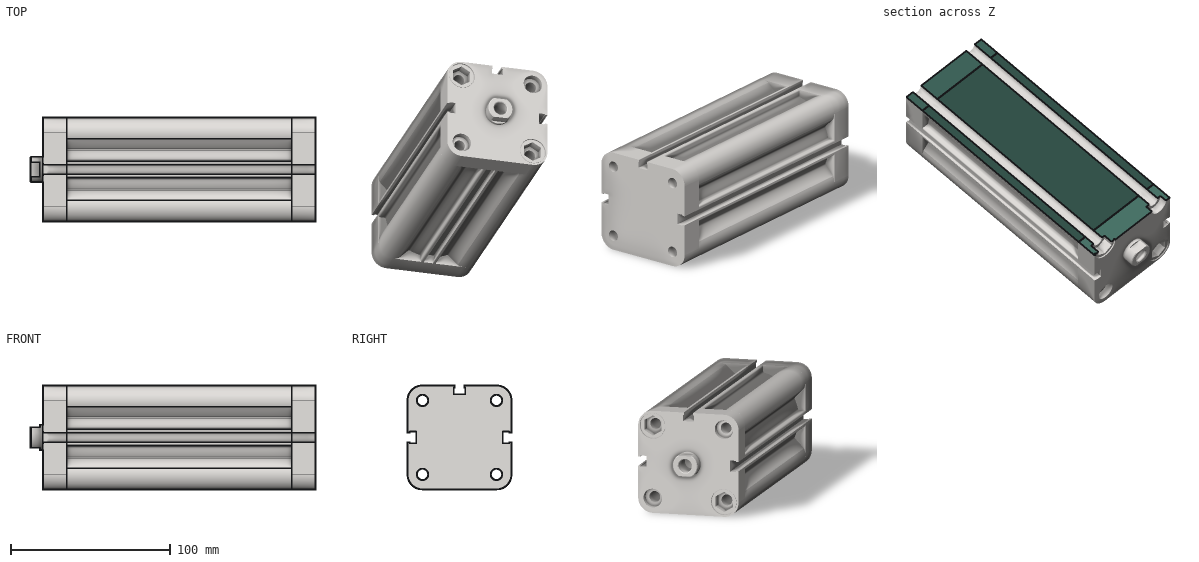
import cadquery as cq
import math


cap_thickness = 15.0
body_length = 171.5
rod_projection = 8.0
barrel_length = body_length - 2 * cap_thickness

section_width = 65.5
half_width = section_width / 2
corner_radius = 9.5
bolt_offset = half_width - corner_radius
bolt_hole_diameter = 7.0

slot_opening = 6.0
slot_lip_depth = 1.5
slot_inner_width = 7.2
slot_depth = 5.5

core_radius = 28.5
lobe_end_angle = 25.0
flank_angle = 44.0
valley_fillet = 1.0
rib_half_width = 5.2
rib_fillet = 1.0

counterbore_diameter = 12.0
counterbore_depth = 5.0
hex_across_flats = 11.2
hex_depth = 7.0
recess_diameter = 16.8
recess_depth = 0.5
groove_inner_diameter = 15.8
groove_depth = 1.0

rod_diameter = 16.0
rod_chamfer = 0.5
flat_across = 13.0
flat_length = 6.0
thread_diameter = 8.5
thread_depth = 15.0
thread_chamfer = 0.5
drill_point_angle = 118.0

front_face = 0.0
barrel_start = front_face + cap_thickness
rear_cap_start = barrel_start + barrel_length
rod_tip = front_face - rod_projection

side_turns = (0, 90, 180, 270)
cap_slot_turns = (0, 90, 270)
signs = (1, -1)


def plane_at(x):
    """YZ sketch plane at station x: local x is Y, local y is Z, normal is +X."""
    return cq.Workplane("YZ", origin=(x, 0, 0))


def turned(shape, angle):
    """Copy of a shape turned about the cylinder axis."""
    return shape.rotate((0, 0, 0), (1, 0, 0), angle)


def t_slot(x, length):
    """Cutter for the T-slot on the +Z side."""
    opening = (
        plane_at(x)
        .center(0, half_width - slot_depth / 2)
        .rect(slot_opening, slot_depth)
        .extrude(length)
    )
    undercut_height = slot_depth - slot_lip_depth
    undercut = (
        plane_at(x)
        .center(0, half_width - slot_depth + undercut_height / 2)
        .rect(slot_inner_width, undercut_height)
        .extrude(length)
    )
    return opening.union(undercut)


def bolt_holes(x, length):
    """Cutters for the four bolt holes."""
    return (
        plane_at(x)
        .rect(2 * bolt_offset, 2 * bolt_offset, forConstruction=True)
        .vertices()
        .circle(bolt_hole_diameter / 2)
        .extrude(length)
    )


def make_cap(x):
    """End cap with bolt holes and T-slots on every side but the bottom."""
    cap = plane_at(x).rect(section_width, section_width).extrude(cap_thickness)
    cap = cap.edges("|X").fillet(corner_radius)
    cap = cap.cut(bolt_holes(x, cap_thickness))
    for angle in cap_slot_turns:
        cap = cap.cut(turned(t_slot(x, cap_thickness), angle))
    return cap


def make_front_cap():
    """Front cap with the rod bore, two recessed hexagon pockets and two counterbores."""
    cap = make_cap(front_face)
    bore = plane_at(front_face).circle(rod_diameter / 2).extrude(cap_thickness)
    cap = cap.cut(bore)
    hex_corner_diameter = hex_across_flats / math.cos(math.radians(30))
    for sign in signs:
        hex_center = plane_at(front_face).center(sign * bolt_offset, sign * bolt_offset)
        plain_center = plane_at(front_face).center(-sign * bolt_offset, sign * bolt_offset)
        hexagon = (
            hex_center.transformed(rotate=(0, 0, 90))
            .polygon(6, hex_corner_diameter)
            .extrude(hex_depth)
        )
        recess = hex_center.circle(recess_diameter / 2).extrude(recess_depth)
        groove = (
            hex_center.circle(recess_diameter / 2)
            .circle(groove_inner_diameter / 2)
            .extrude(groove_depth)
        )
        counterbore = plain_center.circle(counterbore_diameter / 2).extrude(counterbore_depth)
        cap = cap.cut(hexagon).cut(recess).cut(groove).cut(counterbore)
    return cap


def make_barrel():
    """Extruded barrel, the same on all four sides."""
    lobe_end = math.radians(lobe_end_angle)
    flank_slope = math.tan(math.radians(flank_angle))
    flank_y = bolt_offset - corner_radius * math.sin(lobe_end)
    flank_z = bolt_offset + corner_radius * math.cos(lobe_end)

    flank_base = flank_z - flank_slope * flank_y
    a = 1 + flank_slope**2
    b = flank_slope * flank_base
    c = flank_base**2 - core_radius**2
    valley_y = (-b + math.sqrt(b**2 - a * c)) / a
    valley_z = flank_base + flank_slope * valley_y

    barrel = plane_at(barrel_start).circle(core_radius).extrude(barrel_length)
    lobe_tip = bolt_offset + corner_radius * math.cos(math.radians(45))
    lobe = (
        plane_at(barrel_start)
        .moveTo(0, 0)
        .lineTo(valley_y, valley_z)
        .lineTo(flank_y, flank_z)
        .threePointArc((lobe_tip, lobe_tip), (flank_z, flank_y))
        .lineTo(valley_z, valley_y)
        .close()
        .extrude(barrel_length)
    )
    rib_block = (
        plane_at(barrel_start)
        .center(0, half_width / 2)
        .rect(2 * rib_half_width, half_width)
        .extrude(barrel_length)
    )
    for angle in side_turns:
        barrel = barrel.union(turned(lobe, angle)).union(turned(rib_block, angle))

    root_z = math.sqrt(core_radius**2 - rib_half_width**2)
    corners = (
        (valley_y, valley_z, valley_fillet),
        (rib_half_width, root_z, rib_fillet),
        (rib_half_width, half_width, rib_fillet),
    )
    middle = barrel_start + barrel_length / 2
    for y, z, radius in corners:
        spots = [(sign * y, side * z) for sign in signs for side in signs]
        spots += [(side * z, sign * y) for sign in signs for side in signs]
        for spot in spots:
            nearest = cq.selectors.NearestToPointSelector((middle, *spot))
            barrel = barrel.edges("|X").edges(nearest).fillet(radius)

    for angle in side_turns:
        barrel = barrel.cut(turned(t_slot(barrel_start, barrel_length), angle))
    return barrel.cut(bolt_holes(barrel_start, barrel_length))


def make_rod():
    """Piston rod with wrench flats and a drilled thread hole in its tip."""
    rod = plane_at(rod_tip).circle(rod_diameter / 2).extrude(barrel_start - rod_tip)
    rod = rod.faces("<X").chamfer(rod_chamfer)
    flat_depth = (rod_diameter - flat_across) / 2
    for sign in signs:
        flat = (
            plane_at(rod_tip)
            .center(0, sign * (flat_across + flat_depth) / 2)
            .rect(rod_diameter, flat_depth)
            .extrude(flat_length)
        )
        rod = rod.cut(flat)

    hole_radius = thread_diameter / 2
    mouth_radius = hole_radius + thread_chamfer
    point_depth = hole_radius / math.tan(math.radians(drill_point_angle / 2))
    hole = (
        cq.Workplane("XY")
        .moveTo(rod_tip, 0)
        .lineTo(rod_tip, mouth_radius)
        .lineTo(rod_tip + thread_chamfer, hole_radius)
        .lineTo(rod_tip + thread_depth, hole_radius)
        .lineTo(rod_tip + thread_depth + point_depth, 0)
        .close()
        .revolve(360, (0, 0, 0), (1, 0, 0))
    )
    return rod.cut(hole)


front_cap = make_front_cap()
rear_cap = make_cap(rear_cap_start)
barrel = make_barrel()
rod = make_rod()

result = cq.Compound.makeCompound([front_cap.val(), rear_cap.val(), barrel.val(), rod.val()])